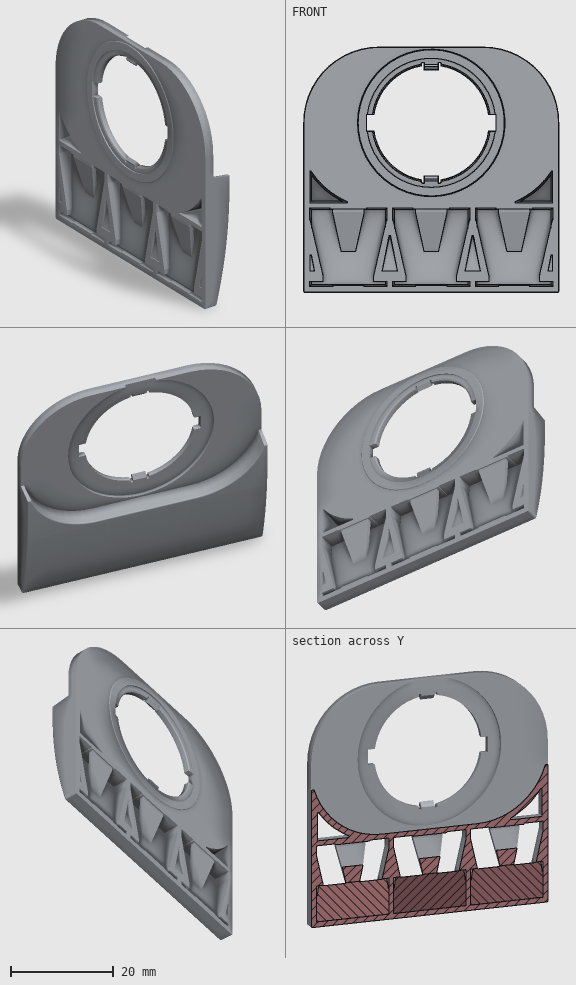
import cadquery as cq
import math

WIDTH = 49.75
HEIGHT = 47.85
HALF_WIDTH = WIDTH / 2
CORNER_RADIUS = 14.75
FOOT_RADIUS = 0.3
PLATE_FRONT = 0.15
PLATE_BACK = 2.1
BLOCK_BACK = 6.15
SIDE_DRAFT = 1.0
ARC_CENTRE_X = HALF_WIDTH - CORNER_RADIUS

BACK_STRAIGHT_Z = 24.85
BACK_FOOT_Y = 2.95
BAY_FLOOR_Z = 17.55
LAND_X = 24.15
LAND_FRONT_Z = 28.0
LAND_BACK_Z = 27.35
BACK_EDGE_RADIUS = 0.25

HOLE_Z = HEIGHT - CORNER_RADIUS
RING_RADIUS = 14.35
RING_CHAMFER = 0.125
RIM_RADIUS = 12.6
LIP_RADIUS = 11.3
LIP_CHAMFER_WIDTH = 0.3
LIP_CHAMFER_DEPTH = 0.15
LIP_FRONT = 0.25
BORE_RADIUS = 15.05
BORE_FLOOR = 1.45
NOTCH_HALF_HEIGHT = 1.6
HOOK_HALF_WIDTH = 1.4
HOOK_SLOT_WIDTH = 0.55
HOOK_SLOT_RADIUS = 11.75
HOOK_TIP_RADIUS = 10.35
HOOK_RIDGE_RADIUS = 10.95
HOOK_RIDGE_FOOT_RADIUS = 11.35
HOOK_RIDGE_FRONT = 0.05
HOOK_TIP_Y = 0.6

WINDOW_COUNT = 3
WINDOW_PITCH = 16.15
WINDOW_HALF_WIDTH = 7.55
NECK_HALF_WIDTH = 4.9
WINDOW_BOTTOM = 1.2
WINDOW_TOP = 16.5
WING_TOP = 2.15
NECK_TOP = 3.25
SHOULDER_Z = 14.6
PAD_HEIGHT = 0.2
BOTTOM_PAD_HALF_WIDTH = 3.1
TOP_PAD_HALF_WIDTH = 3.65

LABEL_BOTTOM_Y = 1.1
LABEL_TOP_Y = 3.35
LABEL_CHAMFER = 0.35

FINGER_FRONT = 0.4
FINGER_BEND_Z = 15.6
FINGER_END_Y, FINGER_END_Z = 2.2, 7.45
FINGER_DEPTH = 0.9
FINGER_ROOT_HALF_WIDTH = 3.1
FINGER_END_HALF_WIDTH = 1.3

WEB_WALL = 1.25
WEB_POCKET_BOTTOM = 4.2
WEB_POCKET_TOP = 11.1
WEB_POCKET_HALF_WIDTH = 1.5
WEB_POCKET_TIP_HALF_WIDTH = 0.15
WEB_POCKET_DRAFT = 5.0
SIDE_POCKET_TOP = 7.3
POCKET_SIDE_X = 23.7
CORNER_POCKET_BOTTOM = 17.45
CORNER_POCKET_WALL = 1.15
CORNER_POCKET_EDGE_RADIUS = 0.15
CORNER_POCKET_BACK = 4.95
CORNER_POCKET_DRAFT = 4.0

WINDOW_CENTRES = [(i - (WINDOW_COUNT - 1) / 2) * WINDOW_PITCH for i in range(WINDOW_COUNT)]


def facing_back(y):
    """Workplane at depth y that extrudes toward +Y, with local x = -X and local y = Z."""
    return cq.Workplane(cq.Plane(origin=(0, y, 0), xDir=(-1, 0, 0), normal=(0, 1, 0)))


def side_prism(points, half_width):
    """Prism along X with an outline of (Y, Z) points, centred on X = 0."""
    return cq.Workplane("YZ").polyline(points).close().extrude(half_width, both=True)


def both_sides(shape):
    return shape.union(shape.mirror("YZ"))


def label_face_y(z):
    slope = (LABEL_TOP_Y - LABEL_BOTTOM_Y) / (WINDOW_TOP - WINDOW_BOTTOM)
    return LABEL_BOTTOM_Y + slope * (z - WINDOW_BOTTOM)


def ahead_of_label_face(gap):
    """Everything in front of the plane that lies `gap` ahead of the label faces."""
    return side_prism(
        [
            (-WIDTH, 0),
            (label_face_y(0) - gap, 0),
            (label_face_y(HEIGHT) - gap, HEIGHT),
            (-WIDTH, HEIGHT),
        ],
        WIDTH,
    )


def make_envelope():
    """Plate and block without openings."""
    outline = (
        cq.Sketch()
        .push([(0, HEIGHT / 2)])
        .rect(WIDTH, HEIGHT)
        .reset()
        .vertices(">Y")
        .fillet(CORNER_RADIUS)
        .reset()
        .vertices("<Y")
        .fillet(FOOT_RADIUS)
    )
    blank = facing_back(PLATE_FRONT).placeSketch(outline).extrude(BLOCK_BACK - PLATE_FRONT, taper=SIDE_DRAFT)
    profile = (
        cq.Workplane("YZ")
        .moveTo(0, 0)
        .lineTo(0, HEIGHT)
        .lineTo(PLATE_BACK, HEIGHT)
        .lineTo(PLATE_BACK, LAND_FRONT_Z)
        .lineTo(BLOCK_BACK, LAND_BACK_Z)
        .lineTo(BLOCK_BACK, BACK_STRAIGHT_Z)
        .tangentArcPoint((BACK_FOOT_Y, 0), relative=False)
        .close()
        .extrude(WIDTH, both=True)
    )
    return round_back_edges(blank.intersect(profile).cut(make_bay()))


def round_back_edges(block):
    """Fillet the sides of the block's back face and the rim of the bay, up to the lands."""
    back_zone = cq.selectors.BoxSelector(
        (-WIDTH, (PLATE_BACK + BLOCK_BACK) / 2, FOOT_RADIUS),
        (WIDTH, 2 * BLOCK_BACK, LAND_BACK_Z - BACK_EDGE_RADIUS),
    )
    return block.edges(back_zone).edges("not |Y").fillet(BACK_EDGE_RADIUS)


def make_bay():
    """Hollow with rounded flanks in the top of the block."""
    run = LAND_X - ARC_CENTRE_X
    centre_z = BAY_FLOOR_Z + CORNER_RADIUS
    land_z = centre_z - math.sqrt(CORNER_RADIUS**2 - run**2)
    half_angle = math.asin(run / CORNER_RADIUS) / 2
    mid_x = ARC_CENTRE_X + CORNER_RADIUS * math.sin(half_angle)
    mid_z = centre_z - CORNER_RADIUS * math.cos(half_angle)
    return (
        facing_back(PLATE_BACK)
        .moveTo(-ARC_CENTRE_X, BAY_FLOOR_Z)
        .lineTo(ARC_CENTRE_X, BAY_FLOOR_Z)
        .threePointArc((mid_x, mid_z), (LAND_X, land_z))
        .lineTo(LAND_X, HEIGHT)
        .lineTo(-LAND_X, HEIGHT)
        .lineTo(-LAND_X, land_z)
        .threePointArc((-mid_x, mid_z), (-ARC_CENTRE_X, BAY_FLOOR_Z))
        .close()
        .extrude(BLOCK_BACK)
    )


def disc(radius, front, back):
    return facing_back(front).center(0, HOLE_Z).circle(radius).extrude(back - front)


def make_hook():
    """Hook above the hole centre, with a ridge along its front."""
    profile = [
        (HOOK_TIP_Y, HOLE_Z + HOOK_TIP_RADIUS),
        (BORE_FLOOR, HOLE_Z + LIP_RADIUS),
        (BORE_FLOOR, HOLE_Z + RIM_RADIUS),
        (LIP_FRONT, HOLE_Z + RIM_RADIUS),
        (LIP_FRONT, HOLE_Z + HOOK_RIDGE_FOOT_RADIUS),
        (HOOK_RIDGE_FRONT, HOLE_Z + HOOK_RIDGE_RADIUS),
    ]
    return side_prism(profile, HOOK_HALF_WIDTH)


def add_ring(body):
    """Raised ring with a recessed lip, side notches and two hooks."""
    ring = disc(RING_RADIUS, 0, BORE_FLOOR).faces("<Y").chamfer(RING_CHAMFER)
    countersink = cq.Solid.makeCone(
        LIP_RADIUS + LIP_CHAMFER_WIDTH,
        LIP_RADIUS,
        LIP_CHAMFER_DEPTH,
        pnt=cq.Vector(0, LIP_FRONT, HOLE_Z),
        dir=cq.Vector(0, 1, 0),
    )
    notch = (
        facing_back(0)
        .center(0, HOLE_Z)
        .rect(2 * RIM_RADIUS, 2 * NOTCH_HALF_HEIGHT)
        .extrude(BLOCK_BACK)
    )
    body = body.union(ring).cut(disc(BORE_RADIUS, BORE_FLOOR, PLATE_BACK))
    body = body.cut(disc(RIM_RADIUS, 0, LIP_FRONT)).cut(disc(LIP_RADIUS, 0, BLOCK_BACK))
    body = body.cut(cq.Workplane(countersink)).cut(notch)

    slot_span = 2 * (HOOK_HALF_WIDTH + HOOK_SLOT_WIDTH)
    gap = (
        facing_back(0)
        .center(0, HOLE_Z + HOOK_SLOT_RADIUS / 2)
        .rect(slot_span, HOOK_SLOT_RADIUS)
        .extrude(BLOCK_BACK)
        .edges("|Y and >Z")
        .fillet(HOOK_SLOT_WIDTH / 2)
    )
    hook = make_hook()
    for angle in (0, 180):
        axis = ((0, 0, HOLE_Z), (0, 1, HOLE_Z), angle)
        body = body.cut(gap.rotate(*axis)).union(hook.rotate(*axis))
    return body


def make_window():
    """Opening in front of one label, with shallow pads in the middle of its top and bottom."""
    right = [
        (BOTTOM_PAD_HALF_WIDTH, WINDOW_BOTTOM + PAD_HEIGHT),
        (BOTTOM_PAD_HALF_WIDTH, WINDOW_BOTTOM),
        (WINDOW_HALF_WIDTH, WINDOW_BOTTOM),
        (WINDOW_HALF_WIDTH, WING_TOP),
        (NECK_HALF_WIDTH, WING_TOP),
        (NECK_HALF_WIDTH, NECK_TOP),
        (WINDOW_HALF_WIDTH, SHOULDER_Z),
        (WINDOW_HALF_WIDTH, WINDOW_TOP),
        (TOP_PAD_HALF_WIDTH, WINDOW_TOP),
        (TOP_PAD_HALF_WIDTH, WINDOW_TOP - PAD_HEIGHT),
    ]
    left = [(-x, z) for x, z in reversed(right)]
    opening = facing_back(0).polyline(right + left).close().extrude(BLOCK_BACK)
    return opening.intersect(ahead_of_label_face(0))


def make_label_space():
    """Rectangular space behind one window, open at the back."""
    return side_prism(
        [
            (label_face_y(WINDOW_BOTTOM), WINDOW_BOTTOM),
            (2 * BLOCK_BACK, WINDOW_BOTTOM),
            (2 * BLOCK_BACK, WINDOW_TOP),
            (label_face_y(WINDOW_TOP), WINDOW_TOP),
        ],
        WINDOW_HALF_WIDTH,
    )


def make_finger():
    """Spring finger that hangs from the window top and leans back onto the label."""
    profile = [
        (FINGER_FRONT, WINDOW_TOP),
        (FINGER_FRONT, FINGER_BEND_Z),
        (FINGER_END_Y, FINGER_END_Z),
        (FINGER_END_Y + FINGER_DEPTH, FINGER_END_Z),
        (FINGER_FRONT + FINGER_DEPTH, FINGER_BEND_Z),
        (FINGER_FRONT + FINGER_DEPTH, WINDOW_TOP),
    ]
    outline = [
        (FINGER_ROOT_HALF_WIDTH, WINDOW_TOP),
        (FINGER_ROOT_HALF_WIDTH, FINGER_BEND_Z),
        (FINGER_END_HALF_WIDTH, FINGER_END_Z),
        (-FINGER_END_HALF_WIDTH, FINGER_END_Z),
        (-FINGER_ROOT_HALF_WIDTH, FINGER_BEND_Z),
        (-FINGER_ROOT_HALF_WIDTH, WINDOW_TOP),
    ]
    face = facing_back(0).polyline(outline).close().extrude(BLOCK_BACK)
    strip = side_prism(profile, FINGER_ROOT_HALF_WIDTH)
    return strip.intersect(face).intersect(ahead_of_label_face(0))


def web_pocket_half_width(z):
    share = (z - WEB_POCKET_BOTTOM) / (WEB_POCKET_TOP - WEB_POCKET_BOTTOM)
    return WEB_POCKET_HALF_WIDTH + share * (WEB_POCKET_TIP_HALF_WIDTH - WEB_POCKET_HALF_WIDTH)


def drafted_pocket(points):
    """Tapered pocket whose floor runs parallel to the label faces."""
    pocket = facing_back(PLATE_FRONT).polyline(points).close().extrude(PLATE_BACK, taper=WEB_POCKET_DRAFT)
    return pocket.intersect(ahead_of_label_face(WEB_WALL))


def make_web_pockets():
    """Triangular pockets between the windows and their cut-off halves at the sides."""
    points = [
        (-WEB_POCKET_HALF_WIDTH, WEB_POCKET_BOTTOM),
        (WEB_POCKET_HALF_WIDTH, WEB_POCKET_BOTTOM),
        (WEB_POCKET_TIP_HALF_WIDTH, WEB_POCKET_TOP),
        (-WEB_POCKET_TIP_HALF_WIDTH, WEB_POCKET_TOP),
    ]
    side_centre = WINDOW_COUNT / 2 * WINDOW_PITCH
    side_points = [
        (POCKET_SIDE_X, WEB_POCKET_BOTTOM),
        (side_centre - web_pocket_half_width(WEB_POCKET_BOTTOM), WEB_POCKET_BOTTOM),
        (side_centre - web_pocket_half_width(SIDE_POCKET_TOP), SIDE_POCKET_TOP),
        (POCKET_SIDE_X, SIDE_POCKET_TOP),
    ]
    middle = drafted_pocket(points).translate((WINDOW_PITCH / 2, 0, 0))
    return both_sides(middle.union(drafted_pocket(side_points)))


def corner_pocket_outline(depth):
    """Closed outline of one corner pocket at a depth below the plate front, inset by the draft."""
    inset = depth * math.tan(math.radians(CORNER_POCKET_DRAFT))
    radius = CORNER_RADIUS + CORNER_POCKET_WALL + inset
    centre_z = BAY_FLOOR_Z + CORNER_RADIUS
    side_x = POCKET_SIDE_X - inset
    bottom_z = CORNER_POCKET_BOTTOM + inset
    tip_x = ARC_CENTRE_X + math.sqrt(radius**2 - (centre_z - bottom_z) ** 2)

    def arc_point(x):
        return (x, centre_z - math.sqrt(radius**2 - (x - ARC_CENTRE_X) ** 2))

    return (
        facing_back(PLATE_FRONT + depth)
        .moveTo(tip_x, bottom_z)
        .lineTo(side_x, bottom_z)
        .lineTo(*arc_point(side_x))
        .threePointArc(arc_point((side_x + tip_x) / 2), (tip_x, bottom_z))
        .close()
        .val()
    )


def make_corner_pockets():
    """Three-sided drafted pockets that follow the flanks of the bay."""
    mouth = corner_pocket_outline(0)
    floor = corner_pocket_outline(CORNER_POCKET_BACK - PLATE_FRONT)
    pocket = cq.Workplane(cq.Solid.makeLoft([mouth, floor], True))
    between_ends = cq.selectors.BoxSelector(
        (-WIDTH, 2 * PLATE_FRONT, 0),
        (WIDTH, CORNER_POCKET_BACK - PLATE_FRONT, HEIGHT),
    )
    return both_sides(pocket.edges(between_ends).fillet(CORNER_POCKET_EDGE_RADIUS))


def make_housing(envelope):
    body = add_ring(envelope).cut(make_web_pockets()).cut(make_corner_pockets())
    window = make_window()
    label_space = make_label_space()
    finger = make_finger()
    for x in WINDOW_CENTRES:
        place = (x, 0, 0)
        body = body.cut(window.translate(place))
        body = body.cut(label_space.translate(place))
        body = body.union(finger.translate(place))
    return body


def make_label(envelope, x):
    """Label flush with the back of the block, chamfered around its front face."""
    blank = make_label_space().faces("<Y").chamfer(LABEL_CHAMFER)
    return blank.translate((x, 0, 0)).intersect(envelope)


envelope = make_envelope()
housing = make_housing(envelope)
labels = [make_label(envelope, x) for x in WINDOW_CENTRES]

result = cq.Compound.makeCompound([housing.val(), *[label.val() for label in labels]])